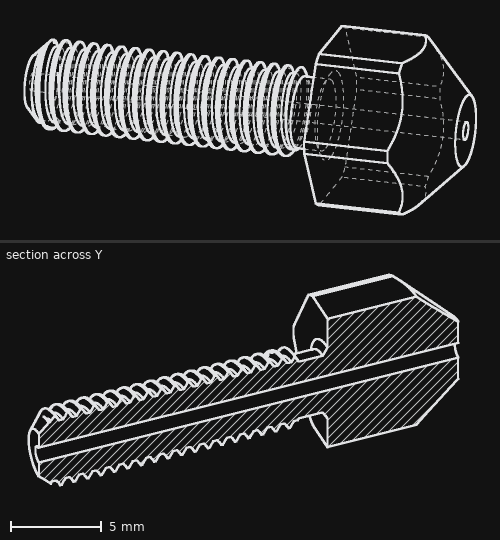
import cadquery as cq
import math

overall_length = 25.0

thread_diameter = 5.0
root_diameter = 4.2
thread_pitch = 0.8
flank_angle = 60.0
crest_width = thread_pitch / 8
thread_end = 15.5
crest_offset = 0.93
ridge_overlap = 0.05
trim_clearance = 0.2
tip_diameter = 3.0
bore_diameter = 1.0

neck_diameter = 4.0
relief_angle = 30.0
flare_diameter = 5.0

head_start = 17.2
across_flats = 9.0
across_corners = 10.0
nose_diameter = 4.0

thread_radius = thread_diameter / 2
root_radius = root_diameter / 2
tip_radius = tip_diameter / 2
neck_radius = neck_diameter / 2
flare_radius = flare_diameter / 2
corner_radius = across_corners / 2
nose_radius = nose_diameter / 2
relief_slope = math.tan(math.radians(relief_angle))
nose_length = corner_radius - nose_radius

ridge_start = crest_offset - 2 * thread_pitch
ridge_turns = math.ceil((thread_end - ridge_start) / thread_pitch) + 1
ridge_length = ridge_turns * thread_pitch


def revolve_about_x(points):
    """Solid of revolution about X from (x, radius) points."""
    outline = cq.Workplane("XY").polyline(points).close()
    return outline.revolve(360, (0, 0, 0), (1, 0, 0))


def cylinder_along_x(start, end, radius):
    return cq.Workplane("YZ").workplane(offset=start).circle(radius).extrude(end - start)


def thread_ridge():
    """Right-handed helical ridge, reaching past the shank at both ends."""
    base_radius = root_radius - ridge_overlap
    flank_run = (thread_radius - base_radius) * math.tan(math.radians(flank_angle / 2))
    half_crest = crest_width / 2
    half_base = half_crest + flank_run
    helix = cq.Wire.makeHelix(thread_pitch, ridge_length, root_radius)
    profile = (
        cq.Workplane("XZ")
        .polyline([
            (base_radius, -half_base),
            (thread_radius, -half_crest),
            (thread_radius, half_crest),
            (base_radius, half_base),
        ])
        .close()
    )
    ridge = profile.sweep(cq.Workplane(obj=helix), isFrenet=True)
    return (
        ridge.rotate((0, 0, 0), (0, 0, 1), 180)
        .rotate((0, 0, 0), (0, 1, 0), 90)
        .translate((ridge_start, 0, 0))
    )


def threaded_shank():
    """Thread and core, made over-long, then trimmed by the tip cone and the relief side."""
    core_start = ridge_start - thread_pitch
    core_end = ridge_start + ridge_length + thread_pitch
    core = cylinder_along_x(core_start, core_end, root_radius)
    trim_radius = thread_radius + trim_clearance
    trim = revolve_about_x([
        (0, 0),
        (0, tip_radius),
        (trim_radius - tip_radius, trim_radius),
        (thread_end - (trim_radius - neck_radius) * relief_slope, trim_radius),
        (thread_end, neck_radius),
        (thread_end, 0),
    ])
    return core.union(thread_ridge(), clean=False).intersect(trim, clean=False)


def neck():
    """Relief neck behind the thread, flaring out to meet the head."""
    return revolve_about_x([
        (thread_end, 0),
        (thread_end, neck_radius),
        (head_start - (flare_radius - neck_radius) * relief_slope, neck_radius),
        (head_start, flare_radius),
        (head_start, 0),
    ])


def head():
    corner_to_corner = across_flats / math.cos(math.pi / 6)
    hexagon = (
        cq.Workplane("YZ")
        .workplane(offset=head_start)
        .polygon(6, corner_to_corner)
        .extrude(overall_length - head_start)
    )
    turned_blank = revolve_about_x([
        (head_start, 0),
        (head_start, corner_radius),
        (overall_length - nose_length, corner_radius),
        (overall_length, nose_radius),
        (overall_length, 0),
    ])
    return hexagon.intersect(turned_blank)


bore = cylinder_along_x(0, overall_length, bore_diameter / 2)
neck_and_head = neck().union(head())
screw = threaded_shank().union(neck_and_head, clean=False).cut(bore, clean=False)
result = screw.solids()